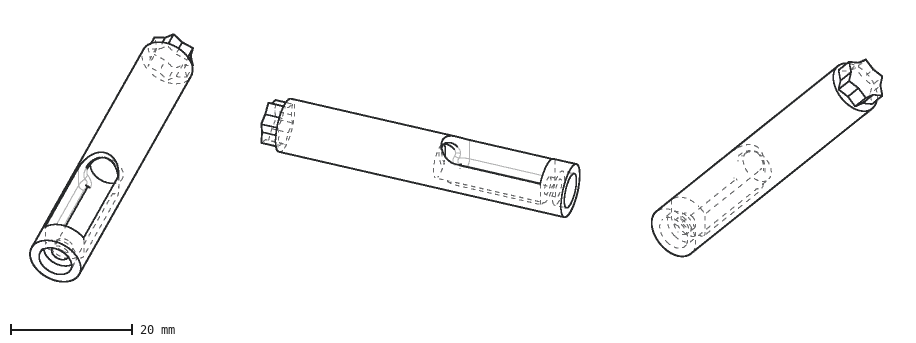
import cadquery as cq
import math

total_length = 53.0
body_diameter = 9.0
star_length = 2.9
body_length = total_length - star_length

star_points = 6
star_tip_radius = 3.95
star_root_radius = 3.0

counterbore_diameter = 5.8
counterbore_depth = 2.1
entry_hole_diameter = 3.0

window_width = 6.85
window_start = 4.05
window_end = 22.4
window_floor_z = -1.9
window_floor_fillet = 0.9

chamber_diameter = 5.8
chamber_end = 23.0
chamber_mouth_chamfer = 0.4
mouth_start = 20.15
mouth_tolerance = 0.025


def rod(diameter, start, end):
    """Cylinder on the Y axis between two Y positions."""
    return cq.Workplane("XZ", origin=(0, start, 0)).circle(diameter / 2).extrude(start - end)


def star_drive():
    """Star-shaped prism with one tip pointing up."""
    outline = []
    for i in range(2 * star_points):
        radius = star_root_radius if i % 2 else star_tip_radius
        angle = math.pi / 2 + i * math.pi / star_points
        outline.append((radius * math.cos(angle), radius * math.sin(angle)))
    return cq.Workplane("XZ", origin=(0, body_length, 0)).polyline(outline).close().extrude(-star_length)


def window():
    """Cutter for the window: straight sides, semicircular far end, filleted floor edge."""
    half_width = window_width / 2
    arc_start = window_end - half_width
    cutter = (
        cq.Workplane("XY", origin=(0, 0, window_floor_z))
        .moveTo(-half_width, window_start)
        .lineTo(half_width, window_start)
        .lineTo(half_width, arc_start)
        .threePointArc((0, window_end), (-half_width, arc_start))
        .close()
        .extrude(body_diameter / 2 - window_floor_z)
    )
    floor_edges = cutter.faces("<Z").edges(cq.selectors.BoxSelector(
        (-body_diameter, window_start + 0.55, -body_diameter), (body_diameter, body_length, body_diameter)))
    return floor_edges.fillet(window_floor_fillet)


def is_mouth_edge(edge):
    """True for the curved edges where the round end of the window meets the chamber."""
    middle = edge.positionAt(0.5)
    on_chamber = abs(math.hypot(middle.x, middle.z) - chamber_diameter / 2) < mouth_tolerance
    in_round_end = window_end - window_width / 2 < middle.y < window_end
    return on_chamber and in_round_end and edge.geomType() not in ("LINE", "CIRCLE")


shell = (
    rod(body_diameter, 0, body_length)
    .union(star_drive())
    .cut(window())
    .cut(rod(chamber_diameter, window_start, chamber_end))
)

front_shell = shell.intersect(rod(body_diameter, 0, mouth_start))
rear_shell = shell.cut(rod(body_diameter, 0, mouth_start))
mouth_edges = [edge for edge in rear_shell.edges().vals() if is_mouth_edge(edge)]
rear_shell = rear_shell.newObject(mouth_edges).chamfer(chamber_mouth_chamfer)

result = (
    front_shell.union(rear_shell)
    .cut(rod(counterbore_diameter, 0, counterbore_depth))
    .cut(rod(entry_hole_diameter, 0, window_start))
)